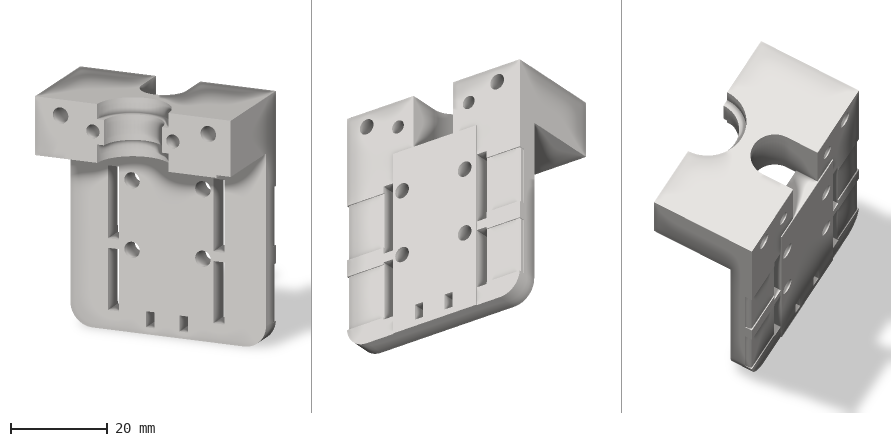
import cadquery as cq

WIDTH = 44.1
DEPTH = 23.55
HEIGHT = 54.3
CENTER_X = WIDTH / 2

PAD_THICKNESS = 0.2
BODY_DEPTH = DEPTH - PAD_THICKNESS
PLATE_FRONT_Y = 18.25
PLATE_TOP_Z = 42.2
CORNER_RADIUS = 5.0
PAD_LEFT_X = 10.95
PAD_RIGHT_X = 32.2

BLOCK_BOTTOM_Z = 41.6
STEP_LEFT_X = 40.9

SEAT_RADIUS = 6.5
COUNTERBORE_RADIUS = 8.05
UPPER_COUNTERBORE_HEIGHT = 3.25
LOWER_COUNTERBORE_HEIGHT = 3.95

CHANNEL_WIDTH = 10.05
CHANNEL_END_Y = 11.0

BOLT_DIAMETER = 3.5
BLOCK_BOLTS = [(5.75, 50.8), (39.05, 50.8)]
PLATE_BOLTS = [(x, z) for x in (13.9, 29.85) for z in (17.8, 32.8)]
PIN_DIAMETER = 3.0
PIN_SPACING = 18.05
PIN_Z = 48.25
PINS = [(CENTER_X - PIN_SPACING / 2, PIN_Z), (CENTER_X + PIN_SPACING / 2, PIN_Z)]

STRAP_SLOT_WIDTH = 2.5
STRAP_SLOT_LEFT_EDGES = (8.45, 32.2)
STRAP_SLOT_SPANS = ((4.2, 17.6), (19.65, 35.4))

SMALL_SLOT_WIDTH = 2.0
SMALL_SLOT_LEFT_EDGES = (17.0, 24.55)
SMALL_SLOT_SPAN = (1.45, 4.95)

RELIEF_SPANS = ((4.65, 17.15), (21.05, 33.85))
RELIEF_START_Y = 21.85
RELIEF_SIDE_DEPTH = 0.1
RELIEF_REAR_DEPTH = 0.2
RELIEF_CHAMFER_X = 0.2
RELIEF_CHAMFER_Y = 0.4


def box(x_range, y_range, z_range):
    """Box spanning the given (low, high) ranges."""
    lows, highs = zip(x_range, y_range, z_range)
    sizes = [high - low for low, high in zip(lows, highs)]
    return cq.Workplane("XY").box(*sizes, centered=False).translate(lows)


def through_holes(centers, diameter):
    """Cylinders along Y at (x, z) centers, spanning the full depth."""
    return cq.Workplane("XZ").pushPoints(centers).circle(diameter / 2).extrude(-DEPTH)


def upright_plate():
    plate = box((0, WIDTH), (PLATE_FRONT_Y, BODY_DEPTH), (0, PLATE_TOP_Z))
    pad = box((PAD_LEFT_X, PAD_RIGHT_X), (BODY_DEPTH, DEPTH), (0, PLATE_TOP_Z))
    return plate.edges("|Y and <Z").fillet(CORNER_RADIUS).union(pad)


def half_round_seat():
    def cylinder(radius, bottom_z, top_z):
        base = cq.Workplane("XY", origin=(CENTER_X, 0, bottom_z))
        return base.circle(radius).extrude(top_z - bottom_z)

    bore = cylinder(SEAT_RADIUS, BLOCK_BOTTOM_Z, HEIGHT)
    upper = cylinder(COUNTERBORE_RADIUS, HEIGHT - UPPER_COUNTERBORE_HEIGHT, HEIGHT)
    lower = cylinder(COUNTERBORE_RADIUS, BLOCK_BOTTOM_Z, BLOCK_BOTTOM_Z + LOWER_COUNTERBORE_HEIGHT)
    return bore.union(upper).union(lower)


def rear_channel():
    radius = CHANNEL_WIDTH / 2
    arc_center_y = CHANNEL_END_Y + radius
    return (
        cq.Workplane("XY", origin=(CENTER_X, 0, BLOCK_BOTTOM_Z))
        .moveTo(-radius, DEPTH)
        .lineTo(-radius, arc_center_y)
        .threePointArc((0, CHANNEL_END_Y), (radius, arc_center_y))
        .lineTo(radius, DEPTH)
        .close()
        .extrude(HEIGHT - BLOCK_BOTTOM_Z)
    )


def clamp_block():
    block = box((0, WIDTH), (0, BODY_DEPTH), (BLOCK_BOTTOM_Z, HEIGHT))
    step = box((STEP_LEFT_X, WIDTH), (0, BODY_DEPTH), (BLOCK_BOTTOM_Z, PLATE_TOP_Z))
    return block.cut(step).cut(half_round_seat()).cut(rear_channel())


def strap_relief(z_range):
    """Cutter for the left edge: thins the side and the rear and bevels the corner between them."""
    bottom_z, top_z = z_range
    rear_y = BODY_DEPTH - RELIEF_REAR_DEPTH
    inner_x = STRAP_SLOT_LEFT_EDGES[0] + STRAP_SLOT_WIDTH
    outline = [
        (0, RELIEF_START_Y),
        (RELIEF_SIDE_DEPTH, RELIEF_START_Y),
        (RELIEF_SIDE_DEPTH, rear_y - RELIEF_CHAMFER_Y),
        (RELIEF_SIDE_DEPTH + RELIEF_CHAMFER_X, rear_y),
        (inner_x, rear_y),
        (inner_x, BODY_DEPTH),
        (0, BODY_DEPTH),
    ]
    base = cq.Workplane("XY", origin=(0, 0, bottom_z))
    return base.polyline(outline).close().extrude(top_z - bottom_z)


result = upright_plate().union(clamp_block())
result = result.cut(through_holes(BLOCK_BOLTS + PLATE_BOLTS, BOLT_DIAMETER))
result = result.cut(through_holes(PINS, PIN_DIAMETER))

for left_x in STRAP_SLOT_LEFT_EDGES:
    for span in STRAP_SLOT_SPANS:
        result = result.cut(box((left_x, left_x + STRAP_SLOT_WIDTH), (0, DEPTH), span))

for left_x in SMALL_SLOT_LEFT_EDGES:
    result = result.cut(box((left_x, left_x + SMALL_SLOT_WIDTH), (0, DEPTH), SMALL_SLOT_SPAN))

for span in RELIEF_SPANS:
    left_relief = strap_relief(span)
    right_relief = left_relief.mirror("YZ").translate((WIDTH, 0, 0))
    result = result.cut(left_relief).cut(right_relief)